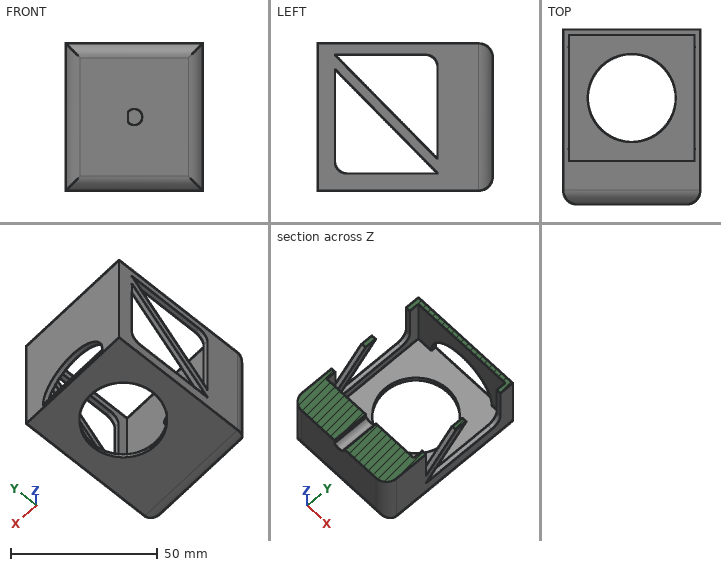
import cadquery as cq

WIDTH = 47.0
DEPTH = 60.0
HEIGHT = 50.5
WALL = 2.0
FRONT_BLOCK = 15.0
FRONT_FILLET = 5.0

CAVITY_WIDTH = WIDTH - 2 * WALL
CAVITY_DEPTH = DEPTH - FRONT_BLOCK - WALL
CAVITY_CENTER_Y = FRONT_BLOCK + CAVITY_DEPTH / 2

OPENING_DIAMETER = 30.0
OPENING_RADIUS = OPENING_DIAMETER / 2

WINDOW_BACK_MARGIN = 6.0
WINDOW_BOTTOM_MARGIN = 6.0
WINDOW_TOP_MARGIN = 4.0
WINDOW_LENGTH = 35.0
WINDOW_CORNER_RADIUS = 4.0
BRACE_RISE = 5.0

SHAFT_DIAMETER = 5.5
SHAFT_FLAT_OFFSET = 2.1
SHAFT_HEIGHT = HEIGHT / 2


def make_body():
    body = cq.Workplane("XY").box(WIDTH, DEPTH, HEIGHT, centered=(True, False, False))
    return body.faces("<Y").edges().fillet(FRONT_FILLET)


def make_cavity():
    return (
        cq.Workplane("XY", origin=(0, CAVITY_CENTER_Y, WALL))
        .rect(CAVITY_WIDTH, CAVITY_DEPTH)
        .extrude(HEIGHT - WALL)
    )


def make_floor_opening():
    return cq.Workplane("XY", origin=(0, CAVITY_CENTER_Y, 0)).circle(OPENING_RADIUS).extrude(WALL)


def make_back_opening():
    """Half disc standing on the floor, cut through the back wall."""
    return (
        cq.Workplane("XZ", origin=(0, DEPTH, WALL))
        .moveTo(-OPENING_RADIUS, 0)
        .threePointArc((0, OPENING_RADIUS), (OPENING_RADIUS, 0))
        .close()
        .extrude(WALL)
    )


def make_window_triangle(corners, rounded_corner):
    """Triangular prism across the full width, with one rounded corner given as a selector."""
    prism = cq.Workplane("YZ").polyline(corners).close().extrude(WIDTH / 2, both=True)
    return prism.edges("|X").edges(rounded_corner).fillet(WINDOW_CORNER_RADIUS)


def make_windows():
    back = DEPTH - WINDOW_BACK_MARGIN
    front = back - WINDOW_LENGTH
    bottom = WINDOW_BOTTOM_MARGIN
    top = HEIGHT - WINDOW_TOP_MARGIN
    upper = make_window_triangle(
        [(back, top), (front, top), (front, bottom + BRACE_RISE)],
        cq.selectors.NearestToPointSelector((0, front, top)),
    )
    lower = make_window_triangle(
        [(front, bottom), (back, bottom), (back, top - BRACE_RISE)],
        cq.selectors.NearestToPointSelector((0, back, bottom)),
    )
    return upper.union(lower)


def make_shaft_hole():
    """Cylinder with the part beyond the flat removed."""
    flat_side = (
        cq.Workplane("XZ", origin=(-SHAFT_FLAT_OFFSET - SHAFT_DIAMETER / 2, FRONT_BLOCK, SHAFT_HEIGHT))
        .rect(SHAFT_DIAMETER, SHAFT_DIAMETER)
        .extrude(FRONT_BLOCK)
    )
    return (
        cq.Workplane("XZ", origin=(0, FRONT_BLOCK, SHAFT_HEIGHT))
        .circle(SHAFT_DIAMETER / 2)
        .extrude(FRONT_BLOCK)
        .cut(flat_side)
    )


result = (
    make_body()
    .cut(make_cavity())
    .cut(make_floor_opening())
    .cut(make_back_opening())
    .cut(make_windows())
    .cut(make_shaft_hole())
)